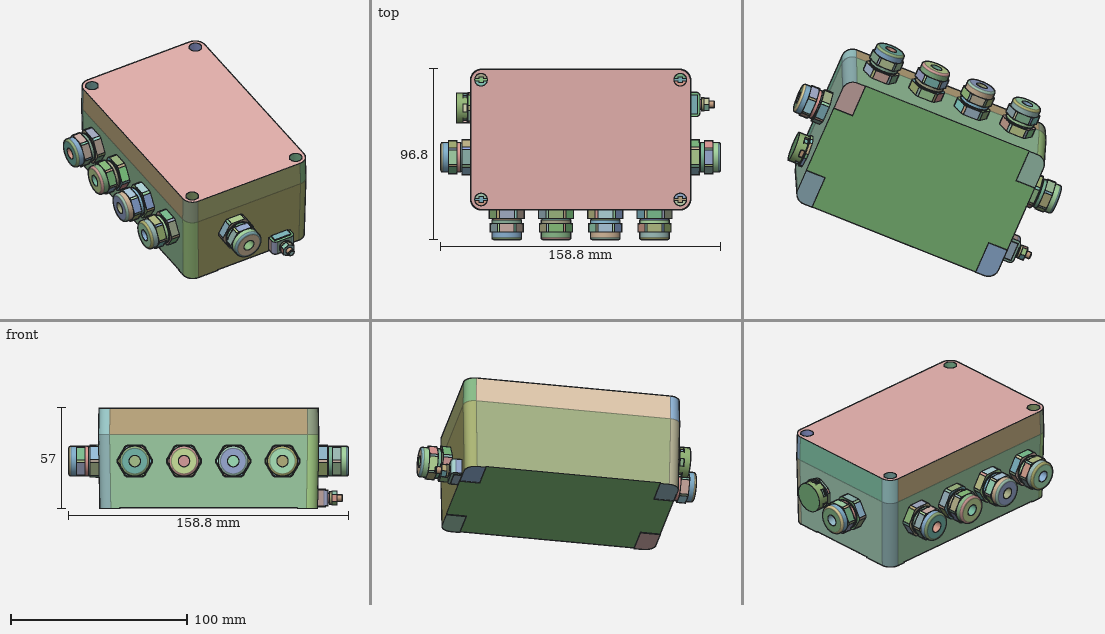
import cadquery as cq
import math


overall_length = 158.8
box_height = 57.0
parting_height = 42.0
gland_length = 16.8
box_length = overall_length - 2 * gland_length
box_width = 80.0
corner_radius = 6.4
draft_angle = 1.0
lid_height = box_height - parting_height

channel_depth = 0.5
channel_along_x = 100.6
channel_along_y = 40.3

screw_x = 56.5
screw_y = 34.0
screw_bore_diameter = 7.1
screw_bore_depth = 9.5
slot_depth = 1.6
slot_width = 1.3
recess_length = 2.5
recess_width = 3.2

embed = 0.8
fitting_height = 27.0
fitting_pitch = 28.0
front_gland_count = 4
side_gland_y = -10.0
base_flats = 18.1
base_corners = 20.0
base_length = 4.8
neck_diameter = 16.2
nut_start = 5.5
nut_diameter = 17.0
nut_corners = 18.9
nut_hex_start = 7.6
nut_hex_length = 5.0
nut_rounding = 1.3
cable_bore = 6.5

plug_y = side_gland_y + fitting_pitch
plug_flats = 17.3
plug_corners = 18.5
plug_base_length = 1.3
plug_neck_diameter = 15.0
plug_cap_start = 1.6
plug_cap_diameter = 17.1
plug_length = 8.0
vent_count = 6
vent_width = 4.3
vent_height = 2.4
vent_depth = 1.6
vent_rim = 0.3

terminal_y = 20.0
terminal_z = 6.0
bracket_reach = 5.2
bracket_width = 14.0
bracket_height = 8.9
bracket_radius = 2.4
block_reach = 3.7
block_width = 10.8
block_height = 10.3
stud_diameter = 4.0
stud_reach = 13.5
stud_chamfer = 0.5
spacer_diameter = 5.7
washer_diameter = 7.6
washer_start = 6.0
nut_seat = 7.3
earth_nut_flats = 7.0
earth_nut_length = 3.0


def drafted_box(height):
    """Block on the parting outline, narrowing upwards, with rounded corners."""
    block = cq.Workplane("XY").rect(box_length, box_width).extrude(height, taper=draft_angle)
    return block.edges("not #Z").fillet(corner_radius)


def cylinder(diameter, start, end):
    return cq.Workplane("XY").workplane(offset=start).circle(diameter / 2).extrude(end - start)


def hexagon(flats, start, end):
    """Hexagonal bar along Z with its corners on the X axis."""
    corners = flats / math.cos(math.pi / 6)
    return cq.Workplane("XY").workplane(offset=start).polygon(6, corners).extrude(end - start)


def trimmed_hexagon(flats, corners, start, end):
    """Hexagonal bar with its corners turned down to a circle."""
    return hexagon(flats, start, end).intersect(cylinder(corners, start, end))


def on_wall(fitting, wall_angle, distance, along, height):
    """Turn a fitting built along +Z to point along wall_angle, and place it on a wall."""
    turned = fitting.rotate((0, 0, 0), (0, 0, 1), 90).rotate((0, 0, 0), (0, 1, 0), 90)
    return turned.translate((distance, along, height)).rotate((0, 0, 0), (0, 0, 1), wall_angle)


def enclosure():
    body = drafted_box(parting_height).mirror("XY").translate((0, 0, parting_height))
    lid = drafted_box(lid_height).translate((0, 0, parting_height))
    channels = (
        cq.Workplane("XY").rect(channel_along_x, 2 * box_width).extrude(channel_depth)
        .union(cq.Workplane("XY").rect(2 * box_length, channel_along_y).extrude(channel_depth))
    )
    return body.union(lid).cut(channels)


def screw_pocket():
    """Round bore down to a screw head with a slot and a square-cornered recess."""
    head = box_height - screw_bore_depth
    bore = cylinder(screw_bore_diameter, head, box_height)
    slot = cq.Workplane("XY").rect(screw_bore_diameter, slot_width)
    recess = cq.Workplane("XY").rect(recess_length, recess_width)
    drive = slot.extrude(slot_depth).union(recess.extrude(slot_depth))
    drive = drive.intersect(cylinder(screw_bore_diameter, 0, slot_depth))
    return bore.union(drive.translate((0, 0, head - slot_depth)))


def cable_gland():
    nut = cylinder(nut_diameter, nut_start, gland_length).faces(">Z").edges().fillet(nut_rounding)
    nut_hex_end = nut_hex_start + nut_hex_length
    return (
        trimmed_hexagon(base_flats, base_corners, -embed, base_length)
        .union(cylinder(neck_diameter, base_length, nut_start))
        .union(nut)
        .union(trimmed_hexagon(nut_diameter, nut_corners, nut_hex_start, nut_hex_end))
        .cut(cylinder(cable_bore, 0, gland_length))
    )


def vent_plug():
    base = trimmed_hexagon(plug_flats, plug_corners, -embed, plug_base_length)
    base = base.rotate((0, 0, 0), (0, 0, 1), 90)
    cap = cylinder(plug_cap_diameter, plug_cap_start, plug_length)
    vent = (
        cq.Workplane("XY")
        .box(2 * vent_depth, vent_width, vent_height, centered=(True, True, False))
        .translate((plug_cap_diameter / 2, 0, plug_cap_start + vent_rim))
    )
    for i in range(vent_count):
        cap = cap.cut(vent.rotate((0, 0, 0), (0, 0, 1), 90 + i * 360 / vent_count))
    return base.union(cylinder(plug_neck_diameter, plug_base_length, plug_cap_start)).union(cap)


def earth_terminal():
    bracket = (
        cq.Workplane("XY").workplane(offset=-embed)
        .rect(bracket_width, bracket_height).extrude(bracket_reach + embed)
        .faces(">Z").edges("|Y").fillet(bracket_radius)
    )
    block = (
        cq.Workplane("XY").workplane(offset=-embed)
        .rect(block_width, block_height).extrude(block_reach + embed)
    )
    nut = hexagon(earth_nut_flats, nut_seat, nut_seat + earth_nut_length)
    stud = cylinder(stud_diameter, bracket_reach, stud_reach).faces(">Z").chamfer(stud_chamfer)
    return (
        bracket.union(block).union(stud)
        .union(cylinder(spacer_diameter, bracket_reach, washer_start))
        .union(cylinder(washer_diameter, washer_start, nut_seat))
        .union(nut.rotate((0, 0, 0), (0, 0, 1), 90))
    )


result = enclosure()

for x in (-screw_x, screw_x):
    for y in (-screw_y, screw_y):
        result = result.cut(screw_pocket().translate((x, y, 0)))

for i in range(front_gland_count):
    along = (i - (front_gland_count - 1) / 2) * fitting_pitch
    result = result.union(on_wall(cable_gland(), -90, box_width / 2, along, fitting_height))

result = result.union(on_wall(cable_gland(), 0, box_length / 2, side_gland_y, fitting_height))
result = result.union(on_wall(cable_gland(), 180, box_length / 2, -side_gland_y, fitting_height))

result = result.union(on_wall(vent_plug(), 180, box_length / 2, -plug_y, fitting_height))
result = result.union(on_wall(earth_terminal(), 0, box_length / 2, terminal_y, terminal_z))